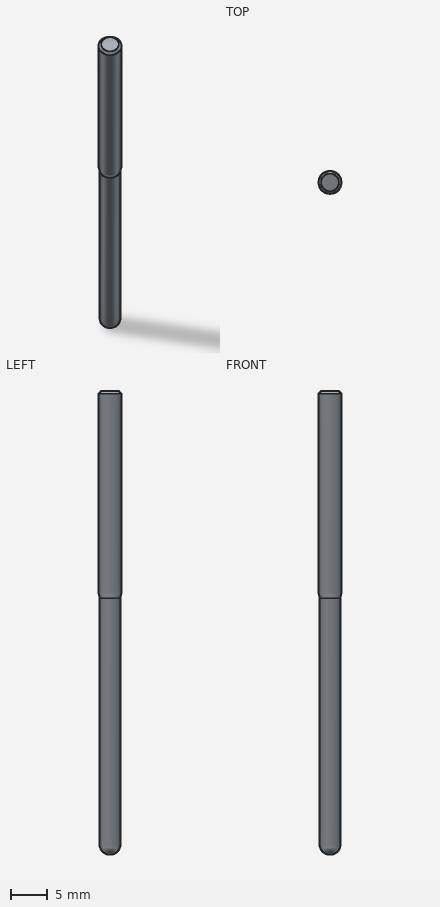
import cadquery as cq
import math

OVERALL_LENGTH = 63.5
SHANK_DIAMETER = 3.175
SHANK_LENGTH = 27.7
END_CHAMFER = 0.38
TAPER_ANGLE = 15
LAND_LENGTH = 0.22
CUTTER_DIAMETER = 2.921

SHANK_RADIUS = SHANK_DIAMETER / 2
CUTTER_RADIUS = CUTTER_DIAMETER / 2
TAPER_LENGTH = (SHANK_RADIUS - CUTTER_RADIUS) / math.tan(math.radians(TAPER_ANGLE))

CONE_TOP = OVERALL_LENGTH - SHANK_LENGTH
CONE_BOTTOM = CONE_TOP - TAPER_LENGTH
CUTTER_TOP = CONE_BOTTOM - LAND_LENGTH


def revolve_about_axis(profile):
    """Turn a closed half profile in the XZ plane about the Z axis."""
    return profile.revolve(360, (0, 0), (0, 1))


def make_shank():
    """Round shank with a chamfered free end, and a cone and land down to the cutter."""
    profile = (
        cq.Workplane("XZ")
        .moveTo(0, CUTTER_TOP)
        .lineTo(CUTTER_RADIUS, CUTTER_TOP)
        .lineTo(CUTTER_RADIUS, CONE_BOTTOM)
        .lineTo(SHANK_RADIUS, CONE_TOP)
        .lineTo(SHANK_RADIUS, OVERALL_LENGTH - END_CHAMFER)
        .lineTo(SHANK_RADIUS - END_CHAMFER, OVERALL_LENGTH)
        .lineTo(0, OVERALL_LENGTH)
        .close()
    )
    return revolve_about_axis(profile)


def make_cutter():
    """Round cutter with a hemispherical tip and a flat end against the shank."""
    profile = (
        cq.Workplane("XZ")
        .radiusArc((CUTTER_RADIUS, CUTTER_RADIUS), -CUTTER_RADIUS)
        .lineTo(CUTTER_RADIUS, CUTTER_TOP)
        .lineTo(0, CUTTER_TOP)
        .close()
    )
    return revolve_about_axis(profile)


shank = make_shank()
cutter = make_cutter()

result = cq.Compound.makeCompound([shank.val(), cutter.val()])